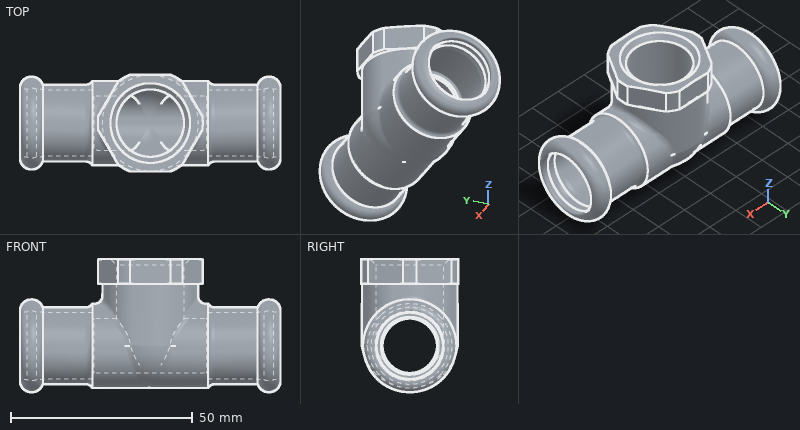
import cadquery as cq
import math


run_half_length = 36.0
tube_radius = 21.3 / 2
body_radius = 23.3 / 2
body_half_length = 16.0
body_end_fillet = 2.0

mouth_radius = 18.7 / 2
mouth_fillet = 0.65
mouth_edge_radius = mouth_radius + mouth_fillet
groove_half_width = 1.3
groove_depth = 0.3
lead_in_start_x = 30.3
lead_in_end_x = 29.3
socket_radius = 18.3 / 2
socket_stop_x = 16.0
stop_corner_fillet = 0.4
run_bore_radius = 15.0 / 2
bore_chamfer = 0.5

bead_outer_radius = 25.72 / 2
bead_width = 6.5
bead_back_x = run_half_length - bead_width
bead_centre_x = (run_half_length + bead_back_x) / 2

branch_radius = 26.5 / 2
branch_bore_radius = 18.63 / 2
branch_mouth_radius = 22.0 / 2
branch_top_z = 24.0
branch_fillet = 2.0
cap_depth = body_radius - 0.01

hex_flats = 26.8
hex_corner_diameter = 29.0
hex_height = 7.0
hex_bottom_z = branch_top_z - hex_height
hex_corner_drop = 0.15
hex_face_radius = branch_radius


def revolve_about_x(profile):
    """Close a profile drawn in the XY plane and revolve it about the X axis."""
    return profile.close().revolve(360, (0, 0, 0), (1, 0, 0))


def revolve_about_z(profile):
    """Close a profile drawn in the XZ plane and revolve it about the Z axis."""
    return profile.close().revolve(360, (0, 0, 0), (0, 1, 0))


def both_ends(solid):
    """Join a solid to its mirror image across the YZ plane."""
    return solid.union(solid.mirror("YZ"))


def run_outside():
    """Body, tubes and press beads of the run, without its bore."""
    body_step = body_radius - tube_radius
    fillet_length = math.sqrt(body_end_fillet**2 - (body_end_fillet - body_step) ** 2)
    tube_profile = (
        cq.Workplane("XY")
        .lineTo(0, body_radius)
        .lineTo(body_half_length, body_radius)
        .radiusArc((body_half_length + fillet_length, tube_radius), -body_end_fillet)
        .lineTo(bead_centre_x, tube_radius)
        .lineTo(bead_centre_x, 0)
    )
    bead_profile = (
        cq.Workplane("XY")
        .moveTo(run_half_length, 0)
        .lineTo(run_half_length, mouth_edge_radius)
        .threePointArc((bead_centre_x, bead_outer_radius), (bead_back_x, mouth_edge_radius))
        .lineTo(bead_back_x, 0)
    )
    return both_ends(revolve_about_x(tube_profile).union(revolve_about_x(bead_profile)))


def run_inside():
    """Through bore, sockets, shallow bead grooves and rounded mouths of the run."""
    groove_inner_x = bead_centre_x - groove_half_width
    groove_outer_x = bead_centre_x + groove_half_width
    profile = (
        cq.Workplane("XY")
        .lineTo(0, run_bore_radius)
        .lineTo(socket_stop_x - bore_chamfer, run_bore_radius)
        .lineTo(socket_stop_x, run_bore_radius + bore_chamfer)
        .lineTo(socket_stop_x, socket_radius - stop_corner_fillet)
        .radiusArc((socket_stop_x + stop_corner_fillet, socket_radius), stop_corner_fillet)
        .lineTo(lead_in_end_x, socket_radius)
        .lineTo(lead_in_start_x, mouth_radius)
        .lineTo(groove_inner_x, mouth_radius)
        .threePointArc((bead_centre_x, mouth_radius + groove_depth), (groove_outer_x, mouth_radius))
        .lineTo(run_half_length - mouth_fillet, mouth_radius)
        .radiusArc((run_half_length, mouth_edge_radius), -mouth_fillet)
        .lineTo(run_half_length, 0)
    )
    return both_ends(revolve_about_x(profile))


def cap_sphere(radius, depth):
    """Sphere that meets the run axis plane in a circle of this radius and reaches this depth."""
    cap_radius = (radius**2 + depth**2) / (2 * depth)
    return cq.Workplane("XY", origin=(0, 0, cap_radius - depth)).sphere(cap_radius)


def upright_cylinder(radius):
    return cq.Workplane("XY").circle(radius).extrude(branch_top_z, both=True)


def above_run_axis(solid):
    return solid.intersect(cq.Workplane("XY").circle(run_half_length).extrude(branch_top_z))


def below_run_axis(solid):
    return solid.intersect(cq.Workplane("XY").circle(run_half_length).extrude(-branch_top_z))


def filleted_junction(branch_form):
    """Plain body cylinder joined to a branch form, with the fillet along their meeting line."""
    body = cq.Workplane("YZ").circle(body_radius).extrude(body_half_length, both=True)
    return body.union(branch_form).edges("%BSPLINE").fillet(branch_fillet)


def hexagon():
    """Hexagon with rounded corners, chamfered on its top and bottom faces."""
    prism = (
        cq.Workplane("XY", origin=(0, 0, hex_bottom_z))
        .polygon(6, hex_flats / math.cos(math.pi / 6))
        .extrude(hex_height)
    )
    corner_radius = hex_corner_diameter / 2
    rounding_profile = (
        cq.Workplane("XZ")
        .moveTo(0, hex_bottom_z)
        .lineTo(hex_face_radius, hex_bottom_z)
        .lineTo(corner_radius, hex_bottom_z + hex_corner_drop)
        .lineTo(corner_radius, branch_top_z - hex_corner_drop)
        .lineTo(hex_face_radius, branch_top_z)
        .lineTo(0, branch_top_z)
    )
    return prism.intersect(revolve_about_z(rounding_profile))


def branch_mouth():
    """45 degree lead-in at the top of the branch bore."""
    depth = branch_mouth_radius - branch_bore_radius
    profile = (
        cq.Workplane("XZ")
        .moveTo(0, branch_top_z)
        .lineTo(branch_mouth_radius, branch_top_z)
        .lineTo(branch_bore_radius, branch_top_z - depth)
        .lineTo(0, branch_top_z - depth)
    )
    return revolve_about_z(profile)


upper_branch = above_run_axis(filleted_junction(upright_cylinder(branch_radius)))
lower_branch = below_run_axis(filleted_junction(cap_sphere(branch_radius, cap_depth)))
branch_and_body = upper_branch.union(lower_branch)
outside = run_outside().union(branch_and_body).union(hexagon())

result = (
    outside.cut(run_inside())
    .cut(above_run_axis(upright_cylinder(branch_bore_radius)))
    .cut(below_run_axis(cap_sphere(branch_bore_radius, run_bore_radius)))
    .cut(branch_mouth())
)